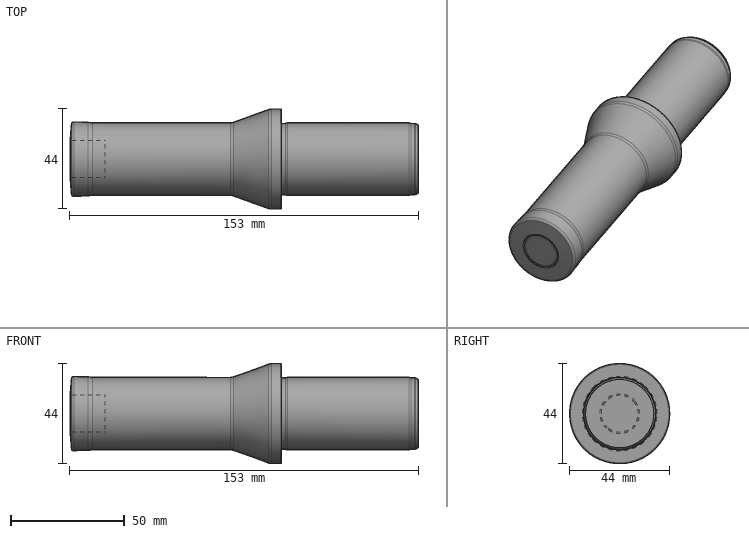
import cadquery as cq
length = 153.0

shank_diameter = 32.0
relief_diameter = 31.5
flange_diameter = 44.0
head_diameter = 32.9
pin_diameter = 16.2

shank_radius = shank_diameter / 2
relief_radius = relief_diameter / 2
flange_radius = flange_diameter / 2
head_radius = head_diameter / 2
pin_radius = pin_diameter / 2

pin_depth = 15.3
seam_chamfer_width = 0.6
seam_chamfer_depth = 0.2

head_length = 8.0
head_rear_radius = 16.2
face_cone_depth = 0.6
head_edge_round = 1.0
lead_in_length = 1.8

cone_start = 71.1
cone_end = 87.8
flange_back = 92.9
cone_root_round = 4.1
cone_top_round = 4.1
flange_back_round = 0.5

relief_floor_length = 1.7
relief_taper_length = 0.9

rear_step_start = 148.9
rear_step_end = 149.8
rear_chamfer_length = 1.4
rear_chamfer_height = 0.8

tolerance = 0.02


def revolve_about_x(profile):
    """Turn a closed half profile (x, radius) about the X axis."""
    return profile.close().revolve(360, (0, 0, 0), (1, 0, 0))


def round_circle(body, x, radius, size):
    """Round the circular edge of the given radius at station x."""
    circle = body.edges("%CIRCLE").filter(
        lambda edge: abs(edge.Center().x - x) < tolerance and abs(edge.radius() - radius) < tolerance
    )
    return circle.fillet(size)


def make_pin():
    """Cylindrical pin with a slightly chamfered flat face."""
    profile = (
        cq.Workplane("XY")
        .lineTo(0, pin_radius - seam_chamfer_width)
        .lineTo(seam_chamfer_depth, pin_radius)
        .lineTo(pin_depth, pin_radius)
        .lineTo(pin_depth, 0)
    )
    return revolve_about_x(profile)


def make_shaft():
    """Headed and flanged shaft with a blind hole for the pin."""
    relief_end = flange_back + relief_floor_length
    profile = (
        cq.Workplane("XY")
        .moveTo(pin_depth, 0)
        .lineTo(pin_depth, pin_radius)
        .lineTo(seam_chamfer_depth, pin_radius)
        .lineTo(0, pin_radius + seam_chamfer_width)
        .lineTo(face_cone_depth, head_radius)
        .lineTo(head_length, head_rear_radius)
        .lineTo(head_length + lead_in_length, shank_radius)
        .lineTo(cone_start, shank_radius)
        .lineTo(cone_end, flange_radius)
        .lineTo(flange_back, flange_radius)
        .lineTo(flange_back, relief_radius)
        .lineTo(relief_end, relief_radius)
        .lineTo(relief_end + relief_taper_length, shank_radius)
        .lineTo(rear_step_start, shank_radius)
        .lineTo(rear_step_end, relief_radius)
        .lineTo(length - rear_chamfer_length, relief_radius)
        .lineTo(length, relief_radius - rear_chamfer_height)
        .lineTo(length, 0)
    )
    shaft = revolve_about_x(profile)
    shaft = round_circle(shaft, face_cone_depth, head_radius, head_edge_round)
    shaft = round_circle(shaft, cone_start, shank_radius, cone_root_round)
    shaft = round_circle(shaft, cone_end, flange_radius, cone_top_round)
    return round_circle(shaft, flange_back, flange_radius, flange_back_round)


pin = make_pin()
shaft = make_shaft()

result = cq.Compound.makeCompound([pin.val(), shaft.val()])